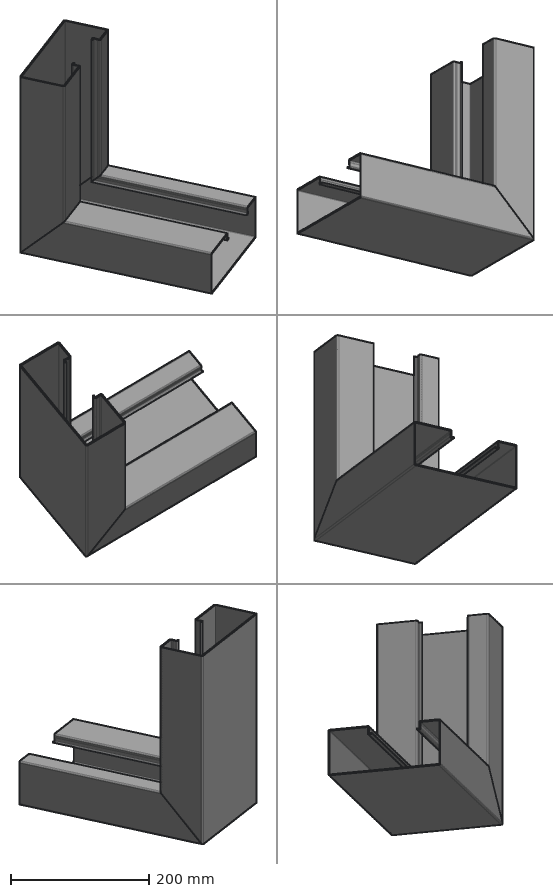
import cadquery as cq
import math

arm_length = 300.0
width = 170.0
depth = 70.0

sheet = 2.0
outer_bend = 2.5
middle_bend = outer_bend - sheet / 2

narrow_flange = 32.0
wide_flange = 62.0

lip_depth = 13.8
straight_lip = 5.0
lip_lean = math.radians(5)
hook_rise = math.radians(14)
hook_reach = 4.0


def lip_corners(slot_side):
    """Middle line of one lip from its flange to its hook tip, for a slot lying towards +Y."""
    lip_y = slot_side - sheet / 2
    crease_x = depth - straight_lip
    hook_x = depth - lip_depth + sheet / 2
    hook_y = lip_y - (crease_x - hook_x) * math.tan(lip_lean)
    tip_y = slot_side + hook_reach - sheet / 2
    tip_x = hook_x + (tip_y - hook_y) * math.tan(hook_rise)
    return [
        (depth - sheet / 2, lip_y),
        (crease_x, lip_y),
        (hook_x, hook_y),
        (tip_x, tip_y),
    ]


def folded_channel():
    """C-shaped sheet channel standing on XY, its back on the YZ plane and its slot facing +X."""
    side_y = width / 2 - sheet / 2
    wide_lip = lip_corners(wide_flange - width / 2)
    narrow_lip = [(x, -y) for x, y in lip_corners(narrow_flange - width / 2)]
    back_and_sides = [
        (depth - sheet / 2, side_y),
        (sheet / 2, side_y),
        (sheet / 2, -side_y),
        (depth - sheet / 2, -side_y),
    ]
    corners = narrow_lip[::-1] + back_and_sides + wide_lip
    middle_line = cq.Wire.makePolygon([cq.Vector(x, y, 0) for x, y in corners]).fillet(middle_bend)
    start = middle_line.startPoint()
    across_strip = cq.Plane(origin=start, xDir=(0, 0, 1), normal=middle_line.tangentAt(0))
    strip = cq.Workplane(across_strip).rect(2 * arm_length, sheet).sweep(cq.Workplane(middle_line))
    rounded_tips = (
        cq.Workplane()
        .pushPoints([narrow_lip[-1], wide_lip[-1]])
        .circle(sheet / 2)
        .extrude(arm_length)
    )
    return strip.union(rounded_tips)


def mitred_arm():
    """Upright channel cut at 45 degrees, keeping the part above the plane z = x."""
    keep = (
        cq.Workplane("XZ")
        .polyline([(0, 0), (arm_length, arm_length), (0, arm_length)])
        .close()
        .extrude(width, both=True)
    )
    return folded_channel().intersect(keep)


mitre_normal = (1, 0, -1)
upright = mitred_arm()
level = upright.mirror(mitre_normal)

result = cq.Compound.makeCompound([upright.val(), level.val()])